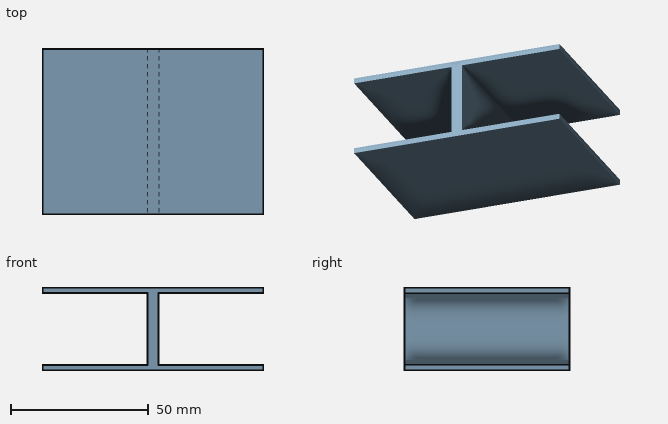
import cadquery as cq

width = 80.0
length = 60.0
height = 30.0

flange_thickness = 2.0
web_thickness = 2 * flange_thickness

result = cq.Workplane("XY").box(web_thickness, length, height)

flange_offset = (height - flange_thickness) / 2
for side in (-1, 1):
    flange = cq.Workplane("XY").box(width, length, flange_thickness)
    result = result.union(flange.translate((0, 0, side * flange_offset)))

result = result.clean()